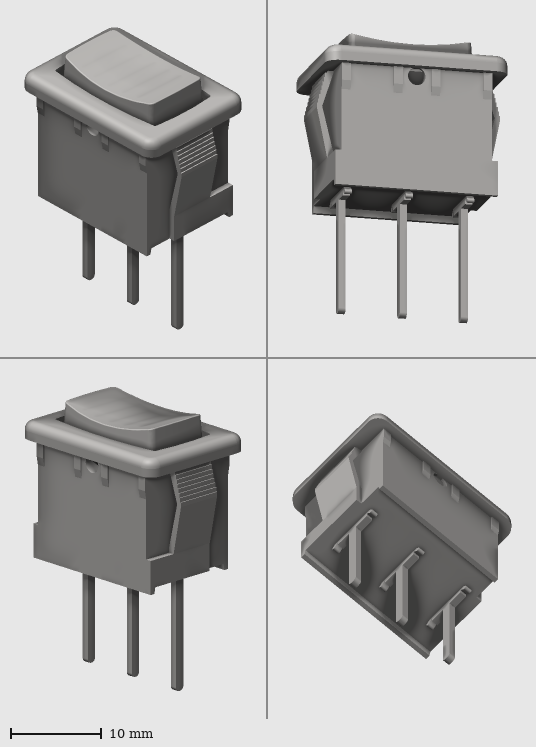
import cadquery as cq
import math


TOTAL_H = 31.2

BEZEL_X = 20.8
BEZEL_Y = 14.8
BEZEL_H = 2.0
BEZEL_CORNER = 1.5
BEZEL_ROUND = 1.0

OPENING_FLOOR_Z = -1.0
OPENING_CORNER = 0.3
OPENING_MID_X = 8.17
OPENING_MID_Y = 4.9
OPENING_CORNER_X = 7.9
OPENING_CORNER_Y = 4.35

ROCKER_MID_X = 7.4
ROCKER_MID_Y = 4.75
ROCKER_CORNER_X = 7.25
ROCKER_CORNER_Y = 4.15
ROCKER_TOP_Z = 4.25
ROCKER_DIP = 0.97
ROCKER_HALF_CHORD = 6.93
ROCKER_TAPER = 3.5
ROCKER_CORNER = 0.7
ROCKER_EDGE = 0.12

BODY_X = 17.15
BODY_Y = 12.6
BODY_BOTTOM_Z = -13.2
FOOT_H = 0.75
FOOT_TOP_W = 0.72
FOOT_BOTTOM_W = 0.55

RIB_W = 1.03
RIB_PROUD = 0.2
RIB_STRAIGHT = 2.0
RIB_LENGTH = 3.0
RIB_X_OUTER = (BODY_X - RIB_W) / 2
RIB_X_INNER = 2.15

WINDOW_DIA = 2.0
WINDOW_Z = -0.95
WINDOW_DEPTH = 0.3
WINDOW_SLOPE_TOP_Z = -0.28

CLIP_W = 5.55
CLIP_SPAN = 20.95
CLIP_REACH = CLIP_SPAN / 2
CLIP_PLATE_T = 0.72
CLIP_PLATE_TOP_Z = -9.98
CLIP_TOP_T = 0.6
CLIP_INNER_TOP_Z = -0.25
CLIP_INNER_REACH = 9.85
CLIP_INNER_BEND_Z = -4.1
CLIP_INNER_FOOT_Z = -9.35
STEP_COUNT = 8
STEP_H = 0.5
STEP_OUT = 0.135
STEP_TOP_Z = -0.25

PIN_T = 0.8
PIN_W = 1.12
PIN_PITCH = 7.0
PIN_TIP_ROUND = 0.5
PIN_TIP_Z = ROCKER_TOP_Z - TOTAL_H
TERMINAL_W = 4.75
TERMINAL_BOTTOM_Z = -14.05
BARB_T = 0.5
BARB_ROOT_Y = 2.43
BARB_ROOT_Z = -13.17
BARB_TIP_Y = 3.03
BARB_TIP_Z = -13.8

OVERLAP = 0.15


def bowed_outline(z, mid_x, mid_y, corner_x, corner_y):
    """Four outward-bowed sides meeting at (+-corner_x, +-corner_y)."""
    return (
        cq.Workplane("XY", origin=(0, 0, z))
        .moveTo(-corner_x, -corner_y)
        .threePointArc((0, -mid_y), (corner_x, -corner_y))
        .threePointArc((mid_x, 0), (corner_x, corner_y))
        .threePointArc((0, mid_y), (-corner_x, corner_y))
        .threePointArc((-mid_x, 0), (-corner_x, -corner_y))
        .close()
    )


def both_sides(shape, plane):
    return shape.union(shape.mirror(plane))


def make_bezel():
    return (
        cq.Workplane("XY")
        .box(BEZEL_X, BEZEL_Y, BEZEL_H, centered=(True, True, False))
        .edges("|Z").fillet(BEZEL_CORNER)
        .faces(">Z").edges().fillet(BEZEL_ROUND)
    )


def make_opening():
    depth = BEZEL_H - OPENING_FLOOR_Z
    outline = bowed_outline(
        OPENING_FLOOR_Z, OPENING_MID_X, OPENING_MID_Y, OPENING_CORNER_X, OPENING_CORNER_Y
    )
    return outline.extrude(depth).edges("|Z").fillet(OPENING_CORNER)


def make_rocker():
    height = ROCKER_TOP_Z - OPENING_FLOOR_Z + OVERLAP
    outline = bowed_outline(
        OPENING_FLOOR_Z, ROCKER_MID_X, ROCKER_MID_Y, ROCKER_CORNER_X, ROCKER_CORNER_Y
    )
    side_edges = cq.selectors.BoxSelector(
        (-BEZEL_X, -BEZEL_Y, OPENING_FLOOR_Z + OVERLAP),
        (BEZEL_X, BEZEL_Y, ROCKER_TOP_Z - OVERLAP),
    )
    block = outline.extrude(height, taper=ROCKER_TAPER).edges(side_edges).fillet(ROCKER_CORNER)
    dish_radius = (ROCKER_HALF_CHORD**2 + ROCKER_DIP**2) / (2 * ROCKER_DIP)
    dish_z = ROCKER_TOP_Z - ROCKER_DIP + dish_radius
    dish = (
        cq.Workplane("XZ", origin=(0, 0, dish_z))
        .circle(dish_radius)
        .extrude(BEZEL_Y, both=True)
    )
    return block.cut(dish).faces(">Z").edges().fillet(ROCKER_EDGE)


def foot_profile():
    """Half of the housing's cross-section in YZ, with the foot along its lower edge."""
    half = BODY_Y / 2
    return [
        (0, 0),
        (half, 0),
        (half, BODY_BOTTOM_Z - FOOT_H),
        (half - FOOT_BOTTOM_W, BODY_BOTTOM_Z - FOOT_H),
        (half - FOOT_TOP_W, BODY_BOTTOM_Z),
        (0, BODY_BOTTOM_Z),
    ]


def make_body():
    half_body = cq.Workplane("YZ").polyline(foot_profile()).close().extrude(BODY_X / 2, both=True)
    return both_sides(half_body, "XZ")


def make_ribs():
    face = BODY_Y / 2
    profile = [
        (face - OVERLAP, 0),
        (face + RIB_PROUD, 0),
        (face + RIB_PROUD, -RIB_STRAIGHT),
        (face, -RIB_LENGTH),
        (face - OVERLAP, -RIB_LENGTH),
    ]
    ribs = cq.Workplane("YZ")
    for x in (-RIB_X_OUTER, -RIB_X_INNER, RIB_X_INNER, RIB_X_OUTER):
        rib = cq.Workplane("YZ", origin=(x, 0, 0)).polyline(profile).close()
        ribs = ribs.union(rib.extrude(RIB_W / 2, both=True))
    return both_sides(ribs, "XZ")


def make_windows():
    face = BODY_Y / 2
    bottom_z = WINDOW_Z - WINDOW_DIA / 2
    slope_drop = WINDOW_SLOPE_TOP_Z - bottom_z
    back_y = face - WINDOW_DEPTH
    profile = [
        (face, 0),
        (back_y, 0),
        (back_y, WINDOW_SLOPE_TOP_Z),
        (back_y - slope_drop, bottom_z),
        (face, bottom_z),
    ]
    wedge = cq.Workplane("YZ").polyline(profile).close().extrude(WINDOW_DIA / 2, both=True)
    bore = cq.Workplane("XZ", origin=(0, 0, WINDOW_Z)).circle(WINDOW_DIA / 2).extrude(-face)
    return both_sides(wedge.intersect(bore), "XZ")


def make_clip():
    """Spring clip on the +X side: a bent, stepped tongue above a flat plate."""
    face = BODY_X / 2
    plate_x = face + CLIP_PLATE_T
    first_step_x = CLIP_REACH - (STEP_COUNT - 1) * STEP_OUT
    profile = [
        (face - OVERLAP, 0),
        (face + CLIP_TOP_T, 0),
        (first_step_x - STEP_OUT, STEP_TOP_Z),
    ]
    for step in range(STEP_COUNT):
        x = first_step_x + step * STEP_OUT
        z = STEP_TOP_Z - step * STEP_H
        profile += [(x, z), (x, z - STEP_H)]
    profile += [
        (plate_x, CLIP_PLATE_TOP_Z),
        (plate_x, BODY_BOTTOM_Z),
        (face - OVERLAP, BODY_BOTTOM_Z),
        (face - OVERLAP, CLIP_INNER_FOOT_Z),
        (face, CLIP_INNER_FOOT_Z),
        (CLIP_INNER_REACH, CLIP_INNER_BEND_Z),
        (face, CLIP_INNER_TOP_Z),
        (face - OVERLAP, CLIP_INNER_TOP_Z),
    ]
    tongue = cq.Workplane("XZ").polyline(profile).close().extrude(CLIP_W / 2, both=True)

    plate = (
        cq.Workplane("YZ", origin=(face - OVERLAP, 0, 0))
        .polyline(foot_profile()).close()
        .extrude(CLIP_PLATE_T + OVERLAP)
    )
    above_plate = (
        cq.Workplane("XY", origin=(0, 0, CLIP_PLATE_TOP_Z))
        .rect(CLIP_SPAN, BODY_Y)
        .extrude(-CLIP_PLATE_TOP_Z)
    )
    return tongue.union(plate.cut(above_plate))


def make_terminal(x):
    def sheet():
        return cq.Workplane("YZ", origin=(x, 0, 0))

    root_z = BODY_BOTTOM_Z + OVERLAP
    base_h = root_z - TERMINAL_BOTTOM_Z
    base = sheet().center(0, root_z - base_h / 2).rect(TERMINAL_W, base_h).extrude(PIN_T / 2, both=True)
    pin_h = root_z - PIN_TIP_Z
    pin = (
        sheet().center(0, root_z - pin_h / 2).rect(PIN_W, pin_h).extrude(PIN_T / 2, both=True)
        .faces("<Z").edges("|X").fillet(PIN_TIP_ROUND)
    )
    run = BARB_TIP_Y - BARB_ROOT_Y
    drop = BARB_TIP_Z - BARB_ROOT_Z
    barb = (
        sheet()
        .center((BARB_ROOT_Y + BARB_TIP_Y) / 2, (BARB_ROOT_Z + BARB_TIP_Z) / 2)
        .slot2D(math.hypot(run, drop) + BARB_T, BARB_T, math.degrees(math.atan2(drop, run)))
        .extrude(PIN_T / 2, both=True)
    )
    return base.union(pin).union(both_sides(barb, "XZ"))


housing = make_bezel().union(make_body()).union(make_ribs())
housing = housing.cut(make_opening()).cut(make_windows())
result = housing.union(make_rocker()).union(both_sides(make_clip(), "YZ"))
for pin_x in (-PIN_PITCH, 0, PIN_PITCH):
    result = result.union(make_terminal(pin_x))